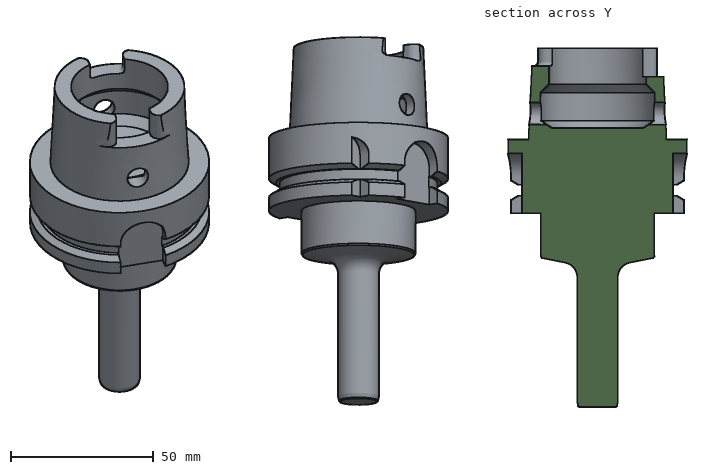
import cadquery as cq
import math

total_length = 125.9

shank_height = 32.0
shank_base_radius = 24.3
shank_top_radius = 22.8
bore_radius = 17.0
bore_depth = 12.6
undercut_radius = 20.0
undercut_top_z = 16.4
undercut_bottom_z = 6.5
bore_floor_radius = 16.0
bore_floor_z = 4.0
cross_hole_diameter = 7.5
cross_hole_z = 9.1

drive_slot_half_width = 6.3
finger_round = 3.0
finger_rim_radius = 23.2
left_slot_depth = 6.2
left_slot_fillet = 1.5
right_slot_depth = 10.0

flange_radius = 31.5
flange_thickness = 25.9
groove_radius = 27.7
groove_lip_radius = 29.0
groove_lip_width = 3.8
groove_mouth_width = 6.8
groove_mid_z = -17.9

keyway_floor_x = 26.6
keyway_width = 16.4
keyway_top_z = -5.0
notch_corner = 20.0
notch_arc_radius = 6.3
notch_arc_z = -11.1

boss_radius = 20.0
boss_bottom_z = -41.0
boss_edge_drop = 0.6
boss_edge_inset = 0.4
boss_cone_slope = 0.2
pin_radius = 7.24
pin_neck_round = 5.0
pin_taper = 0.4
pin_taper_height = 1.9
pin_chamfer = 0.4

pin_bottom_z = shank_height - total_length
pin_end_radius = pin_radius - pin_taper
cut_reach = 2 * flange_radius


def turned_body():
    """Outer shape revolved about Z, from the shank rim down to the pin end."""
    lip_top_z = groove_mid_z + groove_lip_width / 2
    lip_bottom_z = groove_mid_z - groove_lip_width / 2
    mouth_top_z = groove_mid_z + groove_mouth_width / 2
    mouth_bottom_z = groove_mid_z - groove_mouth_width / 2

    cone_angle = math.atan(boss_cone_slope)
    cone_start_r = boss_radius - boss_edge_inset
    cone_start_z = boss_bottom_z - boss_edge_drop
    center_r = pin_radius + pin_neck_round
    cone_z = cone_start_z - (cone_start_r - center_r) * boss_cone_slope
    center_z = cone_z - pin_neck_round / math.cos(cone_angle)

    def neck_point(angle):
        return (
            center_r + pin_neck_round * math.cos(angle),
            center_z + pin_neck_round * math.sin(angle),
        )

    round_start = math.pi / 2 + cone_angle
    round_end = math.pi
    return (
        cq.Workplane("XZ")
        .moveTo(0, shank_height)
        .lineTo(shank_top_radius, shank_height)
        .lineTo(shank_base_radius, 0)
        .lineTo(flange_radius, 0)
        .lineTo(flange_radius, mouth_top_z)
        .lineTo(groove_lip_radius, lip_top_z)
        .lineTo(groove_radius, lip_top_z)
        .lineTo(groove_radius, lip_bottom_z)
        .lineTo(groove_lip_radius, lip_bottom_z)
        .lineTo(flange_radius, mouth_bottom_z)
        .lineTo(flange_radius, -flange_thickness)
        .lineTo(boss_radius, -flange_thickness)
        .lineTo(boss_radius, boss_bottom_z)
        .lineTo(cone_start_r, cone_start_z)
        .lineTo(*neck_point(round_start))
        .threePointArc(neck_point((round_start + round_end) / 2), neck_point(round_end))
        .lineTo(pin_radius, pin_bottom_z + pin_taper_height)
        .lineTo(pin_end_radius, pin_bottom_z + pin_chamfer)
        .lineTo(pin_end_radius - pin_chamfer, pin_bottom_z)
        .lineTo(0, pin_bottom_z)
        .close()
        .revolve(360, (0, 0), (0, 1))
    )


def bore():
    """Bore with a wider undercut that narrows to a flat floor."""
    return (
        cq.Workplane("XZ")
        .moveTo(0, shank_height)
        .lineTo(bore_radius, shank_height)
        .lineTo(bore_radius, shank_height - bore_depth)
        .lineTo(undercut_radius, undercut_top_z)
        .lineTo(undercut_radius, undercut_bottom_z)
        .lineTo(bore_floor_radius, bore_floor_z)
        .lineTo(0, bore_floor_z)
        .close()
        .revolve(360, (0, 0), (0, 1))
    )


def drive_slot(depth):
    """Slot on the +X side that leaves rounded finger ends on both sides."""
    center_y = drive_slot_half_width + finger_round
    center_distance = finger_rim_radius - finger_round
    center_x = math.sqrt(center_distance**2 - center_y**2)
    outward = math.asin(center_y / center_distance)

    def finger_point(angle):
        return (
            center_x + finger_round * math.cos(angle),
            center_y + finger_round * math.sin(angle),
        )

    end_x, end_y = finger_point(outward)
    tangent_end = (end_x - end_y, end_y + end_x)
    half = (
        cq.Workplane("XY", origin=(0, 0, shank_height - depth))
        .lineTo(0, drive_slot_half_width)
        .lineTo(center_x, drive_slot_half_width)
        .threePointArc(finger_point((outward - math.pi / 2) / 2), (end_x, end_y))
        .lineTo(*tangent_end)
        .lineTo(cut_reach, tangent_end[1])
        .lineTo(cut_reach, 0)
        .close()
        .extrude(depth)
    )
    return half.union(half.mirror("XZ"))


def left_drive_slot():
    """Shallower slot on the -X side with filleted floor corners."""
    slot = drive_slot(left_slot_depth)
    floor_z = shank_height - left_slot_depth
    margin = left_slot_fillet / 2
    floor_edges = cq.selectors.BoxSelector(
        (margin, -cut_reach, floor_z - margin),
        (shank_top_radius, cut_reach, floor_z + margin),
    )
    return slot.edges(floor_edges).fillet(left_slot_fillet).rotate((0, 0, 0), (0, 0, 1), 180)


def flange_keyway():
    """Flat-floored keyway on the +X side, round at the top and open below."""
    round_radius = keyway_width / 2
    round_center_z = keyway_top_z - round_radius
    return (
        cq.Workplane("YZ", origin=(keyway_floor_x, 0, 0))
        .moveTo(-round_radius, -flange_thickness)
        .lineTo(-round_radius, round_center_z)
        .threePointArc((0, keyway_top_z), (round_radius, round_center_z))
        .lineTo(round_radius, -flange_thickness)
        .close()
        .extrude(flange_radius)
    )


def orientation_notch():
    """Square corner notch at the -X +Y diagonal, with a rounded upper end."""
    arc_center_y = notch_corner + notch_arc_radius
    arc_mid = notch_arc_radius * math.sqrt(0.5)
    return (
        cq.Workplane("YZ", origin=(-notch_corner, 0, 0))
        .moveTo(notch_corner, -flange_thickness)
        .lineTo(notch_corner, notch_arc_z)
        .threePointArc(
            (arc_center_y - arc_mid, notch_arc_z + arc_mid),
            (arc_center_y, notch_arc_z + notch_arc_radius),
        )
        .lineTo(arc_center_y, -flange_thickness)
        .close()
        .extrude(-flange_radius)
    )


cross_hole = (
    cq.Workplane("YZ")
    .center(0, cross_hole_z)
    .circle(cross_hole_diameter / 2)
    .extrude(flange_radius, both=True)
)

result = (
    turned_body()
    .cut(bore())
    .cut(cross_hole)
    .cut(drive_slot(right_slot_depth))
    .cut(left_drive_slot())
    .cut(flange_keyway())
    .cut(flange_keyway().mirror("YZ"))
    .cut(orientation_notch())
)